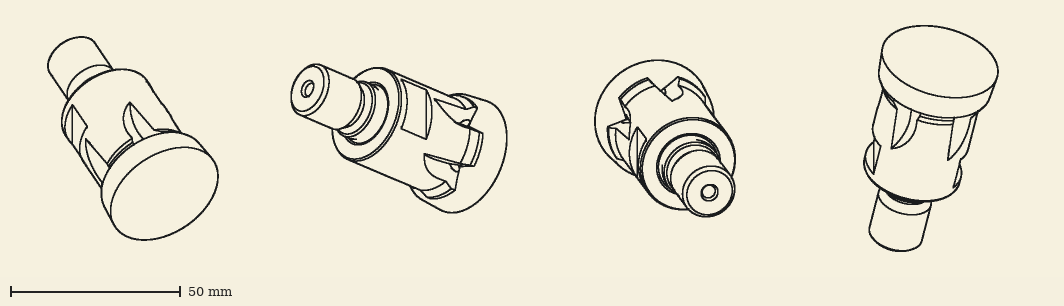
import cadquery as cq
import math

SHANK_RADIUS = 16.0 / 2
SHANK_CHAMFER = 1.05
SHANK_END_X = 14.4
NECK_RADIUS = 13.0 / 2
NECK_CONE_END_X = 16.75
NECK_CONE_END_RADIUS = 6.65
NECK_START_X = 17.1
NECK_END_X = 17.95
NECK_FILLET = 0.9
COLLAR_RADIUS = 17.2 / 2
COLLAR_CHAMFER = 0.65
COLLAR_END_X = 21.7
SPIGOT_RADIUS = 16.6 / 2
SPIGOT_START_X = 22.7
SPIGOT_END_X = 23.35
SPIGOT_FILLET = 0.8

BODY_RADIUS = 29.0 / 2
BODY_START_X = 23.9
BODY_CHAMFER_LENGTH = 0.65
BODY_CHAMFER_HEIGHT = 0.4
RELIEF_RADIUS = 9.7
FLARE_START_X = 52.75
FLARE_END_X = 55.3
FLARE_RADIUS = 15.85

RING_START_X = 56.55
RING_FACE_RADIUS = 13.2
RING_RIM_X = 56.9
RING_RIM_RADIUS = 16.8
RING_RIM_FILLET = 0.6
RING_MAX_X = 65.1
RING_MAX_RADIUS = 17.5
RING_END_RADIUS = 14.6
LENGTH = 66.0

BORE_DIAMETER = 4.0
BORE_MOUTH_DIAMETER = 5.15
BORE_MOUTH_LENGTH = 1.0
BORE_DEPTH = 9.9
DRILL_POINT_ANGLE = 118.0

FLAT_START_X = 26.85
FLAT_END_X = 37.1
FLAT_DISTANCE = 12.0

POCKET_COUNT = 5
POCKET_START_ANGLE = 180.0
POCKET_FLOOR_HEIGHT = 8.25
POCKET_WALL_OFFSET = -6.65
POCKET_WALL_TILT = 5.5
POCKET_FLOOR_TILT = 4.0
POCKET_WIDTH = 13.2
POCKET_RUNOUT_X = 50.4
POCKET_RUNOUT_RADIUS = 15.2
POCKET_RUNOUT_SWEEP = 60.0

OUTLET_DIAMETER = 2.5
OUTLET_X = 54.45
OUTLET_ANGLE = 47.0
OUTLET_DEPTH = 5.3
OUTLET_CLEARANCE = 2.65


def quarter_fillet_mid(start_x, start_radius, fillet):
    """Midpoint of a quarter-circle fillet that leaves a cylinder and turns outward into a face."""
    offset = fillet * math.sqrt(0.5)
    return (start_x + offset, start_radius + fillet - offset)


def turn(profile):
    """Revolve a closed half profile about the X axis."""
    return profile.revolve(360, (0, 0, 0), (1, 0, 0))


def make_shank_and_body():
    collar_start_x = NECK_END_X + NECK_FILLET
    profile = (
        cq.Workplane("XY")
        .lineTo(0, SHANK_RADIUS - SHANK_CHAMFER)
        .lineTo(SHANK_CHAMFER, SHANK_RADIUS)
        .lineTo(SHANK_END_X, SHANK_RADIUS)
        .lineTo(NECK_CONE_END_X, NECK_CONE_END_RADIUS)
        .lineTo(NECK_START_X, NECK_RADIUS)
        .lineTo(NECK_END_X, NECK_RADIUS)
        .threePointArc(
            quarter_fillet_mid(NECK_END_X, NECK_RADIUS, NECK_FILLET),
            (collar_start_x, NECK_RADIUS + NECK_FILLET),
        )
        .lineTo(collar_start_x, COLLAR_RADIUS - COLLAR_CHAMFER)
        .lineTo(collar_start_x + COLLAR_CHAMFER, COLLAR_RADIUS)
        .lineTo(COLLAR_END_X, COLLAR_RADIUS)
        .lineTo(SPIGOT_START_X, SPIGOT_RADIUS)
        .lineTo(SPIGOT_END_X, SPIGOT_RADIUS)
        .threePointArc(
            quarter_fillet_mid(SPIGOT_END_X, SPIGOT_RADIUS, SPIGOT_FILLET),
            (SPIGOT_END_X + SPIGOT_FILLET, SPIGOT_RADIUS + SPIGOT_FILLET),
        )
        .lineTo(BODY_START_X, RELIEF_RADIUS)
        .lineTo(BODY_START_X, BODY_RADIUS - BODY_CHAMFER_HEIGHT)
        .lineTo(BODY_START_X + BODY_CHAMFER_LENGTH, BODY_RADIUS)
        .lineTo(FLARE_START_X, BODY_RADIUS)
        .lineTo(FLARE_END_X, FLARE_RADIUS)
        .lineTo(RING_MAX_X, FLARE_RADIUS)
        .lineTo(RING_MAX_X, 0)
        .close()
    )
    return turn(profile)


def make_ring():
    profile = (
        cq.Workplane("XY")
        .moveTo(RING_START_X, 0)
        .lineTo(RING_START_X, RING_FACE_RADIUS)
        .lineTo(RING_RIM_X, RING_RIM_RADIUS)
        .lineTo(RING_MAX_X, RING_MAX_RADIUS)
        .lineTo(LENGTH, RING_END_RADIUS)
        .lineTo(LENGTH, 0)
        .close()
    )
    rim = cq.selectors.RadiusNthSelector(2)
    return turn(profile).edges(rim).fillet(RING_RIM_FILLET)


def make_centre_hole():
    radius = BORE_DIAMETER / 2
    mouth_radius = BORE_MOUTH_DIAMETER / 2
    point_length = radius / math.tan(math.radians(DRILL_POINT_ANGLE / 2))
    profile = (
        cq.Workplane("XY")
        .lineTo(0, mouth_radius)
        .lineTo(BORE_MOUTH_LENGTH, radius)
        .lineTo(BORE_DEPTH, radius)
        .lineTo(BORE_DEPTH + point_length, 0)
        .close()
    )
    return turn(profile)


def make_flat_cutter(side):
    """Block that removes everything outside the wrench flat; side is -1 or 1 along Y."""
    width = 2 * BODY_RADIUS
    return (
        cq.Workplane("XY")
        .box(FLAT_END_X - FLAT_START_X, width, width)
        .translate(((FLAT_START_X + FLAT_END_X) / 2, side * (FLAT_DISTANCE + width / 2), 0))
    )


def tilt_pocket_tool(tool):
    """Lean a pocket tool so the floor rises towards +X and the wall drifts towards +Y."""
    x, y, z = POCKET_RUNOUT_X, POCKET_WALL_OFFSET, POCKET_FLOOR_HEIGHT
    tool = tool.rotate((x, y, z), (x, y + 0.65, z), -POCKET_FLOOR_TILT)
    return tool.rotate((x, y, z), (x, y, z + 0.65), POCKET_WALL_TILT)


def make_pocket_cutter():
    """Pocket at the +Z side: flat floor with a round run-out, bounded by a wall on its +Y side."""
    sweep = math.radians(POCKET_RUNOUT_SWEEP)

    def runout_point(angle):
        return (
            POCKET_RUNOUT_X - POCKET_RUNOUT_RADIUS * math.sin(angle),
            POCKET_FLOOR_HEIGHT + POCKET_RUNOUT_RADIUS * (1 - math.cos(angle)),
        )

    runout_top = runout_point(sweep)
    cutter = (
        cq.Workplane("XZ")
        .moveTo(LENGTH, POCKET_FLOOR_HEIGHT)
        .lineTo(POCKET_RUNOUT_X, POCKET_FLOOR_HEIGHT)
        .threePointArc(runout_point(sweep / 2), runout_top)
        .lineTo(LENGTH, runout_top[1])
        .close()
        .extrude(POCKET_WIDTH)
        .translate((0, POCKET_WALL_OFFSET, 0))
    )
    return tilt_pocket_tool(cutter)


def make_outlet_cutter():
    """Drill leaving the corner evenly between floor and wall, slanted towards +X."""
    angle = math.radians(OUTLET_ANGLE)
    sideways = math.sin(angle) * math.sqrt(0.5)
    direction = cq.Vector(math.cos(angle), -sideways, sideways)
    corner = cq.Vector(OUTLET_X, POCKET_WALL_OFFSET, POCKET_FLOOR_HEIGHT)
    drill = cq.Solid.makeCylinder(
        OUTLET_DIAMETER / 2,
        OUTLET_DEPTH + OUTLET_CLEARANCE,
        corner - direction * OUTLET_DEPTH,
        direction,
    )
    return tilt_pocket_tool(cq.Workplane(drill))


part = make_shank_and_body()
for side in (-1, 1):
    part = part.cut(make_flat_cutter(side))

pocket = make_pocket_cutter()
outlet = make_outlet_cutter()
for index in range(POCKET_COUNT):
    angle = POCKET_START_ANGLE + index * 360 / POCKET_COUNT
    for cutter in (pocket, outlet):
        part = part.cut(cutter.rotate((0, 0, 0), (1, 0, 0), angle))

part = part.union(make_ring())
result = part.cut(make_centre_hole())